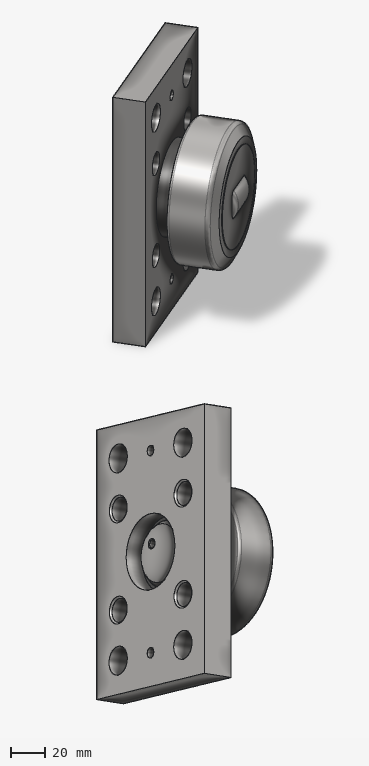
import cadquery as cq
import math

PLATE_THICKNESS = 20.0
PLATE_WIDTH = 100.0
PLATE_HEIGHT = 160.0
OVERALL_DEPTH = 64.0

HOLE_SPACING = 60.0
MOUNTING_ROW_SPACING = 2 * HOLE_SPACING
MOUNTING_HOLE_DIAMETER = 17.0
PIN_HOLE_DIAMETER = 6.0
THREAD_HOLE_DIAMETER = 14.0
THREAD_MOUTH_DIAMETER = 16.3

BORE_DIAMETER = 45.1
BORE_DEPTH = 12.0
STUD_DIAMETER = 40.0
STUD_RECESS = 6.9
STUD_CHAMFER_LENGTH = 4.0
STUD_CHAMFER_WIDTH = 2.7

GREASE_HOLE_Y = 7.5
GREASE_HOLE_Z = 6.7
GREASE_HOLE_DIAMETER = 5.0
GREASE_MOUTH_DIAMETER = 6.0
GREASE_HOLE_DEPTH = 9.6
DRILL_TIP_ANGLE = 118

NECK_RADIUS = 29.5
INNER_RING_RADIUS = 31.2
INNER_RING_BACK = 29.1
INNER_RING_FRONT = 61.0
ROLLER_RADIUS = 44.2
ROLLER_BACK = 30.9
ROLLER_FRONT = 60.5
ROLLER_BACK_FILLET = 1.6
ROLLER_FRONT_FILLET = 3.0
CONE_START = 56.3
CONE_END_RADIUS = 35.8

SIDE_ROLLER_RADIUS = 15.5
SIDE_ROLLER_WIDTH = 26.2
SIDE_ROLLER_FILLET = 3.2

COUNTERSINK_ANGLE = 90


def disc(radius, start, end):
    """Solid cylinder about the X axis, from X = start to X = end."""
    return cq.Workplane("YZ").workplane(offset=start).circle(radius).extrude(end - start)


def revolve_about_x(outline):
    """Solid of revolution from (X, radius) corner points."""
    return cq.Workplane("XY").polyline(outline).close().revolve(360, (0, 0, 0), (1, 0, 0))


def on_back_face(plate):
    """Work plane on the plate's back face, centred on the roller axis."""
    return plate.faces("<X").workplane(origin=(0, 0, 0))


def make_plate():
    """Rectangular plate with mounting, thread and pin holes and a blind central bore."""
    plate = cq.Workplane("YZ").rect(PLATE_WIDTH, PLATE_HEIGHT).extrude(PLATE_THICKNESS)

    mounting_spots = on_back_face(plate).rarray(HOLE_SPACING, MOUNTING_ROW_SPACING, 2, 2)
    plate = mounting_spots.hole(MOUNTING_HOLE_DIAMETER)

    thread_spots = on_back_face(plate).rarray(HOLE_SPACING, HOLE_SPACING, 2, 2)
    plate = thread_spots.cskHole(THREAD_HOLE_DIAMETER, THREAD_MOUTH_DIAMETER, COUNTERSINK_ANGLE)

    pin_spots = on_back_face(plate).rarray(HOLE_SPACING, MOUNTING_ROW_SPACING, 1, 2)
    plate = pin_spots.hole(PIN_HOLE_DIAMETER)

    bore = disc(BORE_DIAMETER / 2, 0, BORE_DEPTH)
    return plate.cut(bore)


def make_stud():
    """Stud end standing on the floor of the bore, tapering to a smaller end face."""
    radius = STUD_DIAMETER / 2
    outline = [
        (STUD_RECESS, 0),
        (STUD_RECESS, radius - STUD_CHAMFER_WIDTH),
        (STUD_RECESS + STUD_CHAMFER_LENGTH, radius),
        (PLATE_THICKNESS, radius),
        (PLATE_THICKNESS, 0),
    ]
    return revolve_about_x(outline)


def make_grease_hole():
    """Countersunk drilled hole with a conical tip, as a solid to cut away."""
    radius = GREASE_HOLE_DIAMETER / 2
    mouth_radius = GREASE_MOUTH_DIAMETER / 2
    tip = radius / math.tan(math.radians(DRILL_TIP_ANGLE / 2))
    mouth_depth = (mouth_radius - radius) / math.tan(math.radians(COUNTERSINK_ANGLE / 2))
    outline = [
        (0, 0),
        (0, mouth_radius),
        (mouth_depth, radius),
        (GREASE_HOLE_DEPTH, radius),
        (GREASE_HOLE_DEPTH + tip, 0),
    ]
    return revolve_about_x(outline).translate((STUD_RECESS, GREASE_HOLE_Y, GREASE_HOLE_Z))


def make_roller():
    """Main roller: rounded back edge, conical front shoulder with a rounded start."""
    outline = [
        (ROLLER_BACK, 0),
        (ROLLER_BACK, ROLLER_RADIUS),
        (CONE_START, ROLLER_RADIUS),
        (ROLLER_FRONT, CONE_END_RADIUS),
        (ROLLER_FRONT, 0),
    ]
    roller = revolve_about_x(outline)
    roller = roller.faces("<X").edges().fillet(ROLLER_BACK_FILLET)
    shoulder_edge = cq.selectors.NearestToPointSelector((CONE_START, 0, 0))
    return roller.edges(shoulder_edge).fillet(ROLLER_FRONT_FILLET)


def make_side_roller():
    """Rounded cylinder along Y whose crown pokes out of the front face."""
    return (
        cq.Workplane("XZ")
        .center(OVERALL_DEPTH - SIDE_ROLLER_RADIUS, 0)
        .circle(SIDE_ROLLER_RADIUS)
        .extrude(SIDE_ROLLER_WIDTH / 2, both=True)
        .edges("%CIRCLE")
        .fillet(SIDE_ROLLER_FILLET)
    )


neck = disc(NECK_RADIUS, PLATE_THICKNESS, INNER_RING_BACK)
inner_ring = disc(INNER_RING_RADIUS, INNER_RING_BACK, INNER_RING_FRONT)

result = (
    make_plate()
    .union(make_stud())
    .union(neck)
    .union(inner_ring)
    .union(make_roller())
    .union(make_side_roller())
    .cut(make_grease_hole())
)